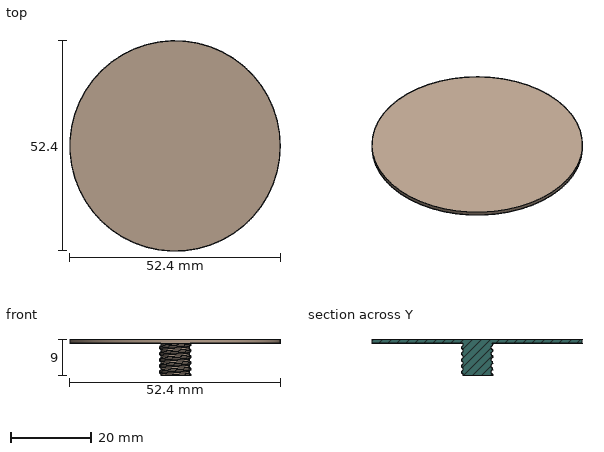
import cadquery as cq

disc_diameter = 52.4
overall_height = 9.0
disc_thickness = 1.0

stud_length = overall_height - disc_thickness
root_diameter = 7.1
crest_diameter = 7.8
pitch = 1.5
crest_width = 0.35
base_width = 1.05
first_crest_height = 0.1
root_overlap = 0.1


def make_disc():
    return cq.Workplane("XY").circle(disc_diameter / 2).extrude(disc_thickness)


def make_thread_ridge():
    """Right-handed trapezoidal ridge, overrunning both ends of the stud."""
    root_radius = root_diameter / 2
    crest_radius = crest_diameter / 2
    buried_radius = root_radius - root_overlap
    flank_slope = (base_width - crest_width) / (crest_radius - root_radius)
    buried_width = base_width + flank_slope * root_overlap
    start_z = first_crest_height - stud_length - pitch
    helix_height = stud_length + 2 * pitch

    helix = cq.Wire.makeHelix(pitch, helix_height, root_radius).translate(cq.Vector(0, 0, start_z))
    profile = (
        cq.Workplane("XZ")
        .moveTo(buried_radius, start_z - buried_width / 2)
        .lineTo(crest_radius, start_z - crest_width / 2)
        .lineTo(crest_radius, start_z + crest_width / 2)
        .lineTo(buried_radius, start_z + buried_width / 2)
        .close()
    )
    return profile.sweep(cq.Workplane(helix), isFrenet=True)


def make_stud():
    """Threaded rod longer than the stud, trimmed to the stud length."""
    core = (
        cq.Workplane("XY")
        .workplane(offset=-stud_length - 2 * pitch)
        .circle(root_diameter / 2)
        .extrude(stud_length + 4 * pitch)
    )
    rod = core.union(make_thread_ridge())
    trim_block = cq.Workplane("XY").rect(2 * crest_diameter, 2 * crest_diameter).extrude(-stud_length)
    return rod.intersect(trim_block)


result = make_disc().union(make_stud())